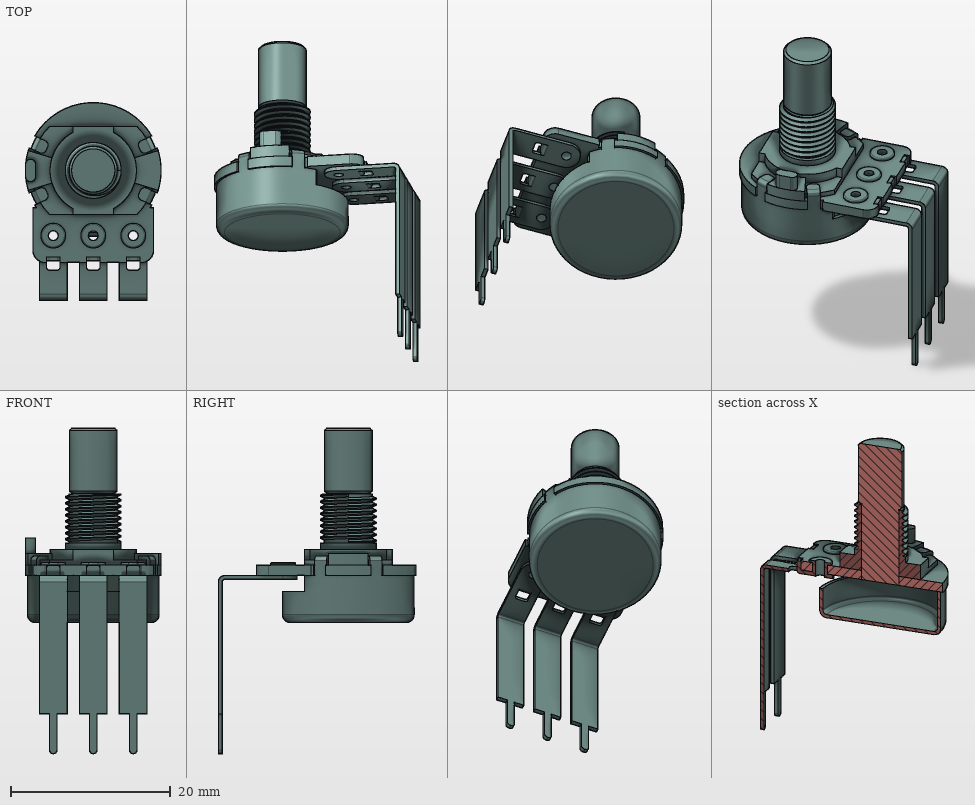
import cadquery as cq
import math


board_thickness = 1.3
board_radius = 8.5
board_wing_half_width = 7.55
board_front = -11.5
board_wing_back = -4.65
board_corner = 1.5

can_radius = 8.25
can_wall = 0.5
can_inner_radius = can_radius - can_wall
can_depth = 5.9
can_bottom_fillet = 1.0
can_window_front = -5.5
can_window_depth = 2.0

tab_width = 1.65
tab_angle = 25.0
tab_inner_end = 6.4
tab_corner = 0.6
tab_root_radius = 6.0
tab_bend_radius = 0.6
tab_angles = [tab_angle, 180 - tab_angle, 180 + tab_angle, -tab_angle]

plate_thickness = 0.65
plate_top = board_thickness + plate_thickness
plate_half_depth = 5.5
ear_half_angle = 17.0
ear_top = 2.75
ring_radius = 5.4
ring_top = 3.25
ring_block_width = 5.1
collar_radius = 3.5
collar_top = 4.05
neck_top = 10.2
core_radius = 6.05 / 2
thread_pitch = 0.75
thread_turns = 8
thread_start = 4.15
thread_half_base = 0.32
thread_half_crest = 0.06
thread_root = 0.03

post_width = 1.3
post_length = 2.8
post_top = 4.7

shaft_radius = 3.0
shaft_top = 18.4
shaft_bottom = 10.25
shaft_chamfer = 0.3
journal_radius = 2.5

terminal_pitch = 5.0
terminal_width = 3.5
terminal_thickness = 0.5
terminal_bend_radius = 0.8
terminal_front = -16.25
terminal_shoulder = -17.3
terminal_bottom = -22.3
pin_width = 0.95
eyelet_y = -8.15
eyelet_bore = 1.2
eyelet_barrel = 2.0
eyelet_head = 3.1
eyelet_head_height = 0.3
eyelet_head_round = 0.15
lug_width = 1.65
lug_back = -10.8
lug_front = lug_back - terminal_thickness
lug_top = 1.25
lug_corner = 0.3
lug_bend_radius = 0.45
window_front = -12.45
window_corner = 0.3
round_clearance = 0.001


def box(x0, x1, y0, y1, z0, z1):
    """Box between two opposite corners."""
    return cq.Workplane("XY").box(x1 - x0, y1 - y0, z1 - z0, centered=False).translate((x0, y0, z0))


def cylinder(radius, z0, z1, x=0, y=0):
    """Upright cylinder between two heights."""
    return cq.Workplane("XY", origin=(x, y, z0)).circle(radius).extrude(z1 - z0)


def turned(solid, angle):
    """Solid turned about the shaft axis."""
    return solid.rotate((0, 0, 0), (0, 0, 1), angle)


terminal_xs = [-terminal_pitch, 0, terminal_pitch]


def make_board():
    """Round board with a front wing for the terminals and notches for the can tabs and lugs."""
    wing = box(
        -board_wing_half_width, board_wing_half_width, board_front, board_wing_back, 0, board_thickness
    )
    wing = wing.edges("|Z and <Y").fillet(board_corner)
    board = cylinder(board_radius, 0, board_thickness).union(wing)
    tab_notch = box(0, board_radius + 1, -tab_width / 2, tab_width / 2, 0, board_thickness)
    tab_notch = tab_notch.cut(cylinder(can_inner_radius, 0, board_thickness))
    for angle in tab_angles:
        board = board.cut(turned(tab_notch, angle))
    for x in terminal_xs:
        board = board.cut(cylinder(eyelet_barrel / 2, 0, board_thickness, x, eyelet_y))
        board = board.cut(
            box(x - lug_width / 2, x + lug_width / 2, board_front, lug_back, 0, board_thickness)
        )
    return board.cut(cylinder(journal_radius, 0, board_thickness))


def make_can():
    """Open-topped cup with a window at the front and four tabs folded inward over the plate."""
    tab_top = plate_top + can_wall
    folded_shell = (
        cq.Workplane("XZ")
        .moveTo(0, -can_depth)
        .lineTo(can_radius - can_bottom_fillet, -can_depth)
        .radiusArc((can_radius, can_bottom_fillet - can_depth), -can_bottom_fillet)
        .lineTo(can_radius, tab_top - tab_bend_radius)
        .radiusArc((can_radius - tab_bend_radius, tab_top), -tab_bend_radius)
        .lineTo(tab_root_radius, tab_top)
        .lineTo(tab_root_radius, plate_top)
        .lineTo(can_inner_radius, plate_top)
        .lineTo(can_inner_radius, can_bottom_fillet - can_depth)
        .radiusArc((can_radius - can_bottom_fillet, can_wall - can_depth), can_bottom_fillet - can_wall)
        .lineTo(0, can_wall - can_depth)
        .close()
        .revolve(360, (0, 0, 0), (0, 1, 0))
    )
    tab_outline = box(tab_inner_end, board_radius, -tab_width / 2, tab_width / 2, -can_window_depth, tab_top)
    tab_outline = tab_outline.edges("|Z and <X").fillet(tab_corner)
    kept = cylinder(board_radius, -can_depth, 0)
    kept = kept.cut(box(-board_radius, board_radius, -board_radius, can_window_front, -can_window_depth, 0))
    for angle in tab_angles:
        kept = kept.union(turned(tab_outline, angle))
    return folded_shell.intersect(kept)


def make_ear():
    """Sector along +X that reaches the board edge and stands above the plate."""
    angle = math.radians(ear_half_angle)
    corner_x = board_radius * math.cos(angle)
    corner_y = board_radius * math.sin(angle)
    return (
        cq.Workplane("XY", origin=(0, 0, board_thickness))
        .lineTo(corner_x, -corner_y)
        .threePointArc((board_radius, 0), (corner_x, corner_y))
        .close()
        .extrude(ear_top - board_thickness)
    )


def make_thread():
    """Right-hand helical ridge, rooted just inside the neck core and trimmed level with its top."""
    path = cq.Wire.makeHelix(thread_pitch, thread_turns * thread_pitch, core_radius)
    ridge = (
        cq.Workplane("XZ")
        .moveTo(core_radius - thread_root, -thread_half_base)
        .lineTo(collar_radius, -thread_half_crest)
        .lineTo(collar_radius, thread_half_crest)
        .lineTo(core_radius - thread_root, thread_half_base)
        .close()
        .sweep(cq.Workplane(obj=path), isFrenet=True)
        .translate((0, 0, thread_start))
    )
    return ridge.intersect(cylinder(collar_radius + thread_pitch, board_thickness, neck_top))


def make_post():
    """Rounded locating post at the outer end of the left ear."""
    return (
        cq.Workplane("XY", origin=(post_width / 2 - board_radius, 0, ear_top))
        .slot2D(post_length, post_width, 90)
        .extrude(post_top - ear_top)
    )


def make_bushing():
    """Clamped plate, ears, post, raised ring and threaded neck with a bore for the shaft."""
    plate = cylinder(can_inner_radius, board_thickness, plate_top)
    bushing = plate.intersect(
        box(-board_radius, board_radius, -plate_half_depth, plate_half_depth, board_thickness, plate_top)
    )
    for angle in (0, 180):
        bushing = bushing.union(turned(make_ear(), angle))
    bushing = bushing.union(make_post())
    bushing = bushing.union(cylinder(ring_radius, board_thickness, ring_top))
    bushing = bushing.union(
        box(
            -ring_block_width / 2, ring_block_width / 2,
            -plate_half_depth, plate_half_depth,
            board_thickness, ring_top,
        )
    )
    bushing = bushing.union(cylinder(collar_radius, board_thickness, collar_top))
    neck = cylinder(core_radius, board_thickness, neck_top).union(make_thread())
    return bushing.union(neck).cut(cylinder(journal_radius, board_thickness, neck_top))


def make_shaft():
    """Round shaft, chamfered at both ends of its free length, on a thinner journal in the bushing."""
    free_length = cylinder(shaft_radius, shaft_bottom, shaft_top).edges().chamfer(shaft_chamfer)
    return free_length.union(cylinder(journal_radius, 0, shaft_bottom))


def make_terminal(x):
    """Bent strip with a pin, a riveted eyelet and a lug folded up out of its window."""
    half_width = terminal_width / 2
    strip = (
        cq.Workplane("YZ")
        .moveTo(eyelet_y + half_width, 0)
        .lineTo(terminal_front, 0)
        .lineTo(terminal_front, terminal_shoulder)
        .lineTo(terminal_front + terminal_thickness, terminal_shoulder)
        .lineTo(terminal_front + terminal_thickness, -terminal_thickness)
        .lineTo(eyelet_y + half_width, -terminal_thickness)
        .close()
        .extrude(half_width, both=True)
    )
    strip = strip.edges("|X and >Z and <Y").fillet(terminal_bend_radius)
    bend_inside = cq.selectors.NearestToPointSelector(
        (0, terminal_front + terminal_thickness, -terminal_thickness)
    )
    strip = strip.edges("|X").edges(bend_inside).fillet(terminal_bend_radius - terminal_thickness)
    strip = strip.edges("|Z and >Y").fillet(half_width - round_clearance)

    pin = box(
        -pin_width / 2, pin_width / 2,
        terminal_front, terminal_front + terminal_thickness,
        terminal_bottom, terminal_shoulder,
    )
    pin = pin.edges("|Y and <Z").fillet(pin_width / 2 - round_clearance)
    window = box(-lug_width / 2, lug_width / 2, window_front, lug_back, -terminal_thickness, 0)
    window = window.edges("|Z and <Y").fillet(window_corner)
    lug = box(-lug_width / 2, lug_width / 2, lug_front, lug_back, -terminal_thickness, lug_top)
    lug = lug.edges("|Y and >Z").fillet(lug_corner)
    lug = lug.edges("|X and <Z and <Y").fillet(lug_bend_radius)

    head = cylinder(eyelet_head / 2, board_thickness, board_thickness + eyelet_head_height, 0, eyelet_y)
    head = head.faces(">Z").edges().fillet(eyelet_head_round)
    eyelet = head.union(cylinder(eyelet_barrel / 2, -terminal_thickness, board_thickness, 0, eyelet_y))
    bore = cylinder(
        eyelet_bore / 2, -terminal_thickness, board_thickness + eyelet_head_height, 0, eyelet_y
    )
    terminal = strip.cut(window).union(pin).union(lug).union(eyelet).cut(bore)
    return terminal.translate((x, 0, 0))


board = make_board()
can = make_can()
bushing = make_bushing()
shaft = make_shaft()
terminals = [make_terminal(x) for x in terminal_xs]

result = cq.Compound.makeCompound(
    [board.val(), can.val(), bushing.val(), shaft.val(), *[terminal.val() for terminal in terminals]]
)